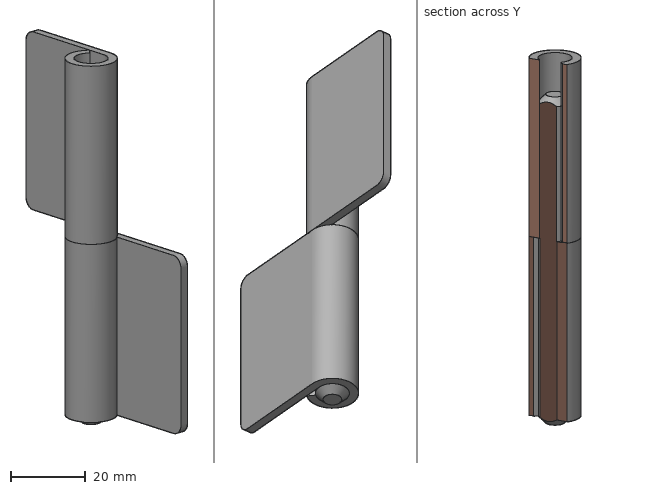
import cadquery as cq
import math


TOTAL_HEIGHT = 102.0
TOTAL_WIDTH = 60.0
PIN_TIP = 2.0
BARREL_DIAMETER = 14.0
SHEET = 2.4
CORNER_RADIUS = 3.0
ROLL_GAP = 0.05
PIN_RECESS = 10.2

LEAF_HEIGHT = (TOTAL_HEIGHT - PIN_TIP) / 2
LEAF_REACH = TOTAL_WIDTH / 2
OUTER_RADIUS = BARREL_DIAMETER / 2
BORE_RADIUS = OUTER_RADIUS - SHEET
PIN_BOTTOM = -LEAF_HEIGHT - PIN_TIP
PIN_LENGTH = LEAF_HEIGHT - PIN_RECESS - PIN_BOTTOM

ROLL_END_ANGLE = math.pi - math.asin((BORE_RADIUS - ROLL_GAP) / OUTER_RADIUS)


def make_leaf(base_z):
    """Plate toward -X whose far end rolls clockwise around the Z axis."""
    end_x = math.cos(ROLL_END_ANGLE)
    end_y = math.sin(ROLL_END_ANGLE)
    middle_angle = (math.pi / 2 + ROLL_END_ANGLE) / 2 - math.pi
    middle_x = math.cos(middle_angle)
    middle_y = math.sin(middle_angle)
    return (
        cq.Workplane("XY", origin=(0, 0, base_z))
        .moveTo(-LEAF_REACH, OUTER_RADIUS)
        .lineTo(0, OUTER_RADIUS)
        .threePointArc(
            (OUTER_RADIUS * middle_x, OUTER_RADIUS * middle_y),
            (OUTER_RADIUS * end_x, OUTER_RADIUS * end_y),
        )
        .lineTo(BORE_RADIUS * end_x, BORE_RADIUS * end_y)
        .threePointArc((BORE_RADIUS * middle_x, BORE_RADIUS * middle_y), (0, BORE_RADIUS))
        .lineTo(-LEAF_REACH, BORE_RADIUS)
        .close()
        .extrude(LEAF_HEIGHT)
        .faces("<X")
        .edges("|Y")
        .fillet(CORNER_RADIUS)
    )


def make_pin():
    """Round pin filling the bore, with a 45 degree cone at both ends."""
    return (
        cq.Workplane("XY", origin=(0, 0, PIN_BOTTOM))
        .circle(BORE_RADIUS)
        .extrude(PIN_LENGTH)
        .faces("<Z or >Z")
        .chamfer(PIN_TIP)
    )


upper_leaf = make_leaf(0)
lower_leaf = make_leaf(-LEAF_HEIGHT).mirror("YZ")
pin = make_pin()

result = cq.Compound.makeCompound([upper_leaf.val(), lower_leaf.val(), pin.val()])